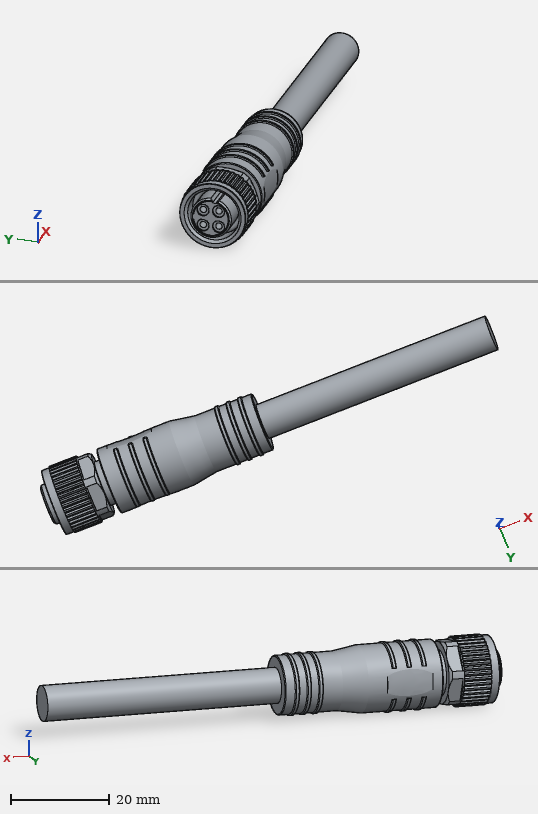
import cadquery as cq
import math

LENGTH = 97.1

INSERT_R = 4.3
INSERT_CHAMFER = 0.4
CORE_R = 3.7
RIM_GAP = 0.2
RIM_GAP_DEPTH = 0.4
KEY_WIDTH = 1.2
SOCKET_OFFSET = 1.65
SOCKET_R = 0.7
SOCKET_DEPTH = 4.9
RECESS_R = 1.3
RECESS_DEPTH = 0.4
KEYWAY_ANGLE = 12.0
KEYWAY_TOP = 2.0
KEYWAY_FLOOR = 0.7
KEYWAY_DEPTH = 0.8

NUT_START = 1.5
NUT_R = 7.0
NUT_EDGE = 0.1
BORE_R = 5.4
BORE_END = 6.0
BORE_CHAMFER = 0.6
SEAL_R = 0.63
KNURL_START = 3.2
KNURL_END = 9.0
KNURL_R = 14.5 / 2
TOOTH_COUNT = 40
TOOTH_GAP_TOP = 0.8
TOOTH_GAP_FLOOR = 0.1
TOOTH_GAP_DEPTH = 0.34
HEX_START = 9.3
NUT_END = 12.1
FLAT_COUNT = 6
HEX_APOTHEM = 6.4
HEX_TILT = 8.0
HEX_CHAMFER = 0.6

NECK_R = 4.8
BODY_START = 13.5
BODY_R = 7.0
BODY_EDGE = 0.2
TAPER_START = 29.4
TAPER_END = 34.7
TAIL_R = 6.1
TAIL_END = 47.1
CABLE_R = 3.7

RIB_BASE_WIDTH = 1.0
RIB_TOP_WIDTH = 0.6
RIB_HEIGHT = 0.24
BODY_RIB_MIDDLE = 20.6
BODY_RIB_PITCH = 3.2
BODY_RIB_GAP = 6.5
TAIL_RIB_MIDDLE = 41.9
TAIL_RIB_PITCH = 2.5

SCOOP_LENGTH = 9.7
SCOOP_END_Y = 6.9
SCOOP_MIDDLE_Y = 6.7
SCOOP_AXIS_Y = 6.8


def disc(start, end, radius):
    """Cylinder on the X axis between two X positions."""
    return cq.Workplane("YZ", origin=(start, 0, 0)).circle(radius).extrude(end - start)


def ring(start, end, inner_radius, outer_radius):
    """Tube on the X axis between two X positions."""
    return disc(start, end, outer_radius).cut(disc(start, end, inner_radius))


def axial_groove(start, end, outer_radius, top_width, floor_width, depth):
    """Trapezoidal groove cutter along X on the +Z side, flush with a given radius."""
    slope = (top_width - floor_width) / 2 / depth
    overshoot = depth
    mouth = top_width / 2 + slope * overshoot
    floor = floor_width / 2
    return (
        cq.Workplane("YZ", origin=(start, 0, 0))
        .polyline([
            (-floor, outer_radius - depth),
            (floor, outer_radius - depth),
            (mouth, outer_radius + overshoot),
            (-mouth, outer_radius + overshoot),
        ])
        .close()
        .extrude(end - start)
    )


def turn(shape, angle):
    """Rotate a shape about the X axis."""
    return shape.rotate((0, 0, 0), (1, 0, 0), angle)


def make_insert():
    """Socket insert with its front face details and one keyway near the top."""
    insert = disc(0, HEX_START, INSERT_R).faces("<X").chamfer(INSERT_CHAMFER)

    gap = ring(0, RIM_GAP_DEPTH, CORE_R, CORE_R + RIM_GAP)
    key = cq.Workplane("XY").box(RIM_GAP_DEPTH, INSERT_R, KEY_WIDTH, centered=(False, False, True))
    insert = insert.cut(gap.cut(key))

    socket_spacing = 2 * SOCKET_OFFSET
    socket_centres = cq.Workplane("YZ").rarray(socket_spacing, socket_spacing, 2, 2)
    insert = insert.cut(socket_centres.circle(RECESS_R).extrude(RECESS_DEPTH))
    insert = insert.cut(socket_centres.circle(SOCKET_R).extrude(SOCKET_DEPTH))

    keyway = axial_groove(0, BORE_END, INSERT_R, KEYWAY_TOP, KEYWAY_FLOOR, KEYWAY_DEPTH)
    return insert.cut(turn(keyway, KEYWAY_ANGLE))


def make_knurl():
    """Grip ring with V-like gaps between its teeth; one tooth points along +Y."""
    knurl = ring(KNURL_START, KNURL_END, BORE_R, KNURL_R)
    tooth_pitch = 360 / TOOTH_COUNT
    gap = axial_groove(
        KNURL_START, KNURL_END, KNURL_R, TOOTH_GAP_TOP, TOOTH_GAP_FLOOR, TOOTH_GAP_DEPTH
    )
    for index in range(TOOTH_COUNT):
        knurl = knurl.cut(turn(gap, (index + 0.5) * tooth_pitch))
    return knurl


def make_hex():
    """Round shank with six flats, its rear corners bevelled."""
    flats = cq.Workplane("YZ", origin=(HEX_START, 0, 0)).polygon(
        FLAT_COUNT, 2 * HEX_APOTHEM / math.cos(math.pi / FLAT_COUNT)
    ).extrude(NUT_END - HEX_START)
    shank = disc(HEX_START, NUT_END, NUT_R).faces(">X").chamfer(HEX_CHAMFER)
    return shank.intersect(turn(flats, HEX_TILT))


def make_nut():
    """Hollow coupling nut: plain front collar, knurled grip and hexagonal shank."""
    nut = disc(NUT_START, HEX_START, NUT_R).faces("<X").chamfer(NUT_EDGE)
    knurl_seat = ring(KNURL_START, KNURL_END, BORE_R, NUT_R)
    nut = nut.cut(knurl_seat).union(make_knurl()).union(make_hex())
    bore = disc(NUT_START, BORE_END, BORE_R)
    bore_mouth = cq.Workplane("XY").polyline([
        (NUT_START, 0),
        (NUT_START, BORE_R + BORE_CHAMFER),
        (NUT_START + BORE_CHAMFER, BORE_R),
        (NUT_START + BORE_CHAMFER, 0),
    ]).close().revolve(360, (0, 0, 0), (1, 0, 0))
    return nut.cut(bore).cut(bore_mouth)


def make_seal():
    """Sealing ring half sunk into the floor of the nut bore."""
    seal_centre_r = (INSERT_R + BORE_R) / 2
    return (
        cq.Workplane("XY")
        .center(BORE_END, seal_centre_r)
        .circle(SEAL_R)
        .revolve(360, (0, -seal_centre_r, 0), (1, -seal_centre_r, 0))
    )


def make_body():
    """Neck, grip body, tapered shoulder, tail and cable as one turned shape."""
    profile = (
        cq.Workplane("XY")
        .moveTo(HEX_START, 0)
        .lineTo(HEX_START, NECK_R)
        .lineTo(BODY_START, NECK_R)
        .lineTo(BODY_START, BODY_R - BODY_EDGE)
        .lineTo(BODY_START + BODY_EDGE, BODY_R)
        .lineTo(TAPER_START, BODY_R)
        .lineTo(TAPER_END, TAIL_R)
        .lineTo(TAIL_END - BODY_EDGE, TAIL_R)
        .lineTo(TAIL_END, TAIL_R - BODY_EDGE)
        .lineTo(TAIL_END, CABLE_R)
        .lineTo(LENGTH, CABLE_R)
        .lineTo(LENGTH, 0)
        .close()
    )
    return profile.revolve(360, (0, 0, 0), (1, 0, 0))


def make_ribs(middle, pitch, base_radius):
    """Three raised rings with sloped flanks, rooted slightly inside their surface."""
    root_radius = base_radius - RIB_HEIGHT
    base = RIB_BASE_WIDTH / 2
    top = RIB_TOP_WIDTH / 2
    section = (
        cq.Workplane("XY")
        .polyline([
            (-base, root_radius),
            (-base, base_radius),
            (-top, base_radius + RIB_HEIGHT),
            (top, base_radius + RIB_HEIGHT),
            (base, base_radius),
            (base, root_radius),
        ])
        .close()
    )
    rib = section.revolve(360, (0, 0, 0), (1, 0, 0))
    ribs = cq.Workplane("XY")
    for step in (-1, 0, 1):
        ribs = ribs.add(rib.translate((middle + step * pitch, 0, 0)))
    return ribs.combine()


def make_body_ribs():
    """Body ribs, interrupted on both Y sides to leave room for the scoops."""
    ribs = make_ribs(BODY_RIB_MIDDLE, BODY_RIB_PITCH, BODY_R)
    side_gap = cq.Workplane("XY", origin=(BODY_RIB_MIDDLE, 0, 0)).box(
        TAPER_START - BODY_START, 4 * BODY_R, BODY_RIB_GAP
    )
    return ribs.cut(side_gap)


def make_scoop():
    """Turned cutter, flatter than the body around X; it leaves a barrel outline on the -Y side."""
    scoop_start = BODY_RIB_MIDDLE - SCOOP_LENGTH / 2
    scoop_end = BODY_RIB_MIDDLE + SCOOP_LENGTH / 2
    return (
        cq.Workplane("XY")
        .moveTo(scoop_start, -KNURL_R)
        .lineTo(scoop_start, -SCOOP_END_Y)
        .threePointArc((BODY_RIB_MIDDLE, -SCOOP_MIDDLE_Y), (scoop_end, -SCOOP_END_Y))
        .lineTo(scoop_end, -KNURL_R)
        .close()
        .revolve(360, (0, SCOOP_AXIS_Y, 0), (1, SCOOP_AXIS_Y, 0))
    )


scoop = make_scoop()
body = make_body().cut(scoop).cut(scoop.mirror("XZ"))
body = body.union(make_body_ribs())
body = body.union(make_ribs(TAIL_RIB_MIDDLE, TAIL_RIB_PITCH, TAIL_R))

result = body.union(make_nut()).union(make_insert()).union(make_seal())